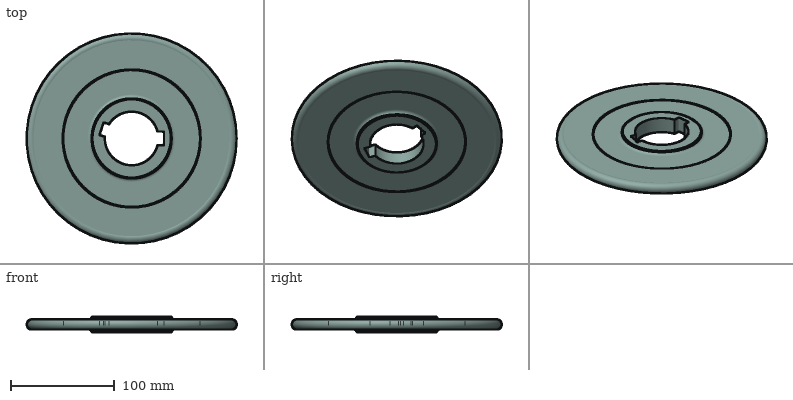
import cadquery as cq
import math

outer_radius = 101.5
hub_height = 15.8

bead_radius = 5.0
ring_thickness = 9.5

seam_radius = 66.0
seam_chamfer_width = 0.8
seam_chamfer_depth = 0.3

boss_root_radius = 42.3
flare_radius = 3.7
boss_chamfer = 1.0

bore_radius = 25.8
main_key_width = 13.0
main_key_reach = 31.0
main_key_corner_radius = 0.8
angled_key_width = 12.5
angled_key_reach = 30.5
angled_key_direction = 162.0

ring_top = ring_thickness / 2
disc_top = ring_top - seam_chamfer_depth
hub_top = hub_height / 2
shoulder_top = hub_top - boss_chamfer


def revolve_about_z(profile):
    """Revolve a closed profile drawn in the XZ plane a full turn about Z."""
    return profile.revolve(360, (0, 0, 0), (0, 1, 0))


def make_keyway(width, reach, direction):
    """Cutter running from the axis out to the given reach."""
    cutter = cq.Workplane("XY").box(reach, width, hub_height, centered=(False, True, True))
    return cutter.rotate((0, 0, 0), (0, 0, 1), direction)


def make_hub():
    """Disc with a flared boss on both faces and a keyed through bore."""
    flare_center_height = disc_top + flare_radius
    flare_angle = math.acos((flare_center_height - shoulder_top) / flare_radius)

    def flare_point(angle, side):
        radius = boss_root_radius - flare_radius * math.sin(angle)
        height = flare_center_height - flare_radius * math.cos(angle)
        return (radius, side * height)

    shoulder_radius = flare_point(flare_angle, 1)[0]
    boss_top_radius = shoulder_radius - boss_chamfer
    profile = (
        cq.Workplane("XZ")
        .moveTo(bore_radius, hub_top)
        .lineTo(boss_top_radius, hub_top)
        .lineTo(shoulder_radius, shoulder_top)
        .threePointArc(flare_point(flare_angle / 2, 1), (boss_root_radius, disc_top))
        .lineTo(seam_radius, disc_top)
        .lineTo(seam_radius, -disc_top)
        .lineTo(boss_root_radius, -disc_top)
        .threePointArc(flare_point(flare_angle / 2, -1), (shoulder_radius, -shoulder_top))
        .lineTo(boss_top_radius, -hub_top)
        .lineTo(bore_radius, -hub_top)
        .close()
    )
    main_keyway = make_keyway(main_key_width, main_key_reach, 0)
    main_keyway = main_keyway.edges("|Z and >X").fillet(main_key_corner_radius)
    angled_keyway = make_keyway(angled_key_width, angled_key_reach, angled_key_direction)
    return revolve_about_z(profile).cut(main_keyway).cut(angled_keyway)


def make_rim_ring():
    """Flat ring with chamfered inner edges and a round bead around the outside."""
    bead_center_radius = outer_radius - bead_radius
    bead_start_radius = bead_center_radius - math.sqrt(bead_radius**2 - ring_top**2)
    chamfer_outer_radius = seam_radius + seam_chamfer_width
    profile = (
        cq.Workplane("XZ")
        .moveTo(seam_radius, disc_top)
        .lineTo(chamfer_outer_radius, ring_top)
        .lineTo(bead_start_radius, ring_top)
        .threePointArc((outer_radius, 0), (bead_start_radius, -ring_top))
        .lineTo(chamfer_outer_radius, -ring_top)
        .lineTo(seam_radius, -disc_top)
        .close()
    )
    return revolve_about_z(profile)


hub = make_hub()
rim_ring = make_rim_ring()

result = cq.Compound.makeCompound([hub.val(), rim_ring.val()])